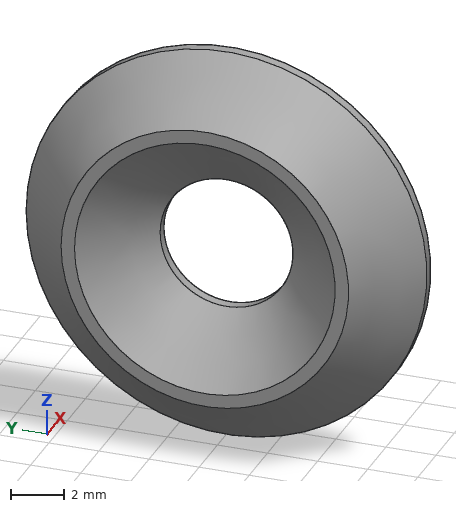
import cadquery as cq

outer_diameter = 16.0
thickness = 2.8
rim_width = 0.43
small_face_diameter = 11.47
sink_diameter = 10.4
hole_diameter = 5.3

outer_radius = outer_diameter / 2
small_face_radius = small_face_diameter / 2
sink_radius = sink_diameter / 2
hole_radius = hole_diameter / 2
sink_depth = thickness - rim_width

half_section = (
    cq.Workplane("XY")
    .moveTo(0, sink_radius)
    .lineTo(0, small_face_radius)
    .lineTo(thickness - rim_width, outer_radius)
    .lineTo(thickness, outer_radius)
    .lineTo(thickness, hole_radius)
    .lineTo(sink_depth, hole_radius)
    .close()
)

result = half_section.revolve(360, (0, 0, 0), (1, 0, 0))